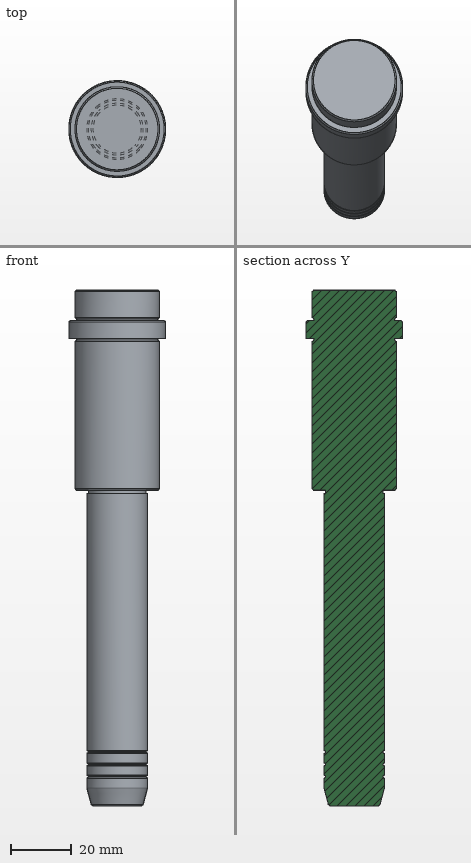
import cadquery as cq
import math

length = 170.0
body_radius = 14.0
collar_radius = 16.0
shank_radius = 10.0

collar_top = 160.0
collar_bottom = 154.0
body_bottom = 104.0

top_chamfer = 0.5
collar_chamfer = 0.5
body_chamfer = 0.5

relief_width = 1.0
relief_depth = 0.5
relief_slope = 0.5
neck_width = 1.0
neck_depth = 0.5

ring_count = 3
ring_pitch = 4.0
ring_width = 1.0
ring_depth = 0.5
ring_slope = 0.3
lowest_ring_center = 9.7

taper_length = 6.0
taper_angle = 15.0
tip_chamfer = 0.5


def cylinder(radius, bottom, top):
    """Solid cylinder on the pin axis between two heights."""
    return cq.Workplane("XY").workplane(offset=bottom).circle(radius).extrude(top - bottom)


def groove(surface_radius, depth, bottom, width, lower_slope=0.0, upper_slope=0.0):
    """Ring of material to remove; each slope is the height of a tapered groove wall."""
    floor_radius = surface_radius - depth
    top = bottom + width
    profile = [
        (floor_radius, bottom + lower_slope),
        (surface_radius, bottom),
        (collar_radius, bottom),
        (collar_radius, top),
        (surface_radius, top),
        (floor_radius, top - upper_slope),
    ]
    return cq.Workplane("XZ").polyline(profile).close().revolve(360, (0, 0, 0), (0, 1, 0))


def make_shank():
    """Straight shank with a conical tip, reaching up to the body."""
    tip_radius = shank_radius - taper_length * math.tan(math.radians(taper_angle))
    cone = (
        cq.Workplane("XY")
        .circle(tip_radius)
        .workplane(offset=taper_length)
        .circle(shank_radius)
        .loft(ruled=True)
        .faces("<Z")
        .chamfer(tip_chamfer)
    )
    return cone.union(cylinder(shank_radius, taper_length, body_bottom))


def make_body():
    """Thick upper cylinder with broken end edges."""
    body = cylinder(body_radius, body_bottom, length)
    return body.faces(">Z").chamfer(top_chamfer).faces("<Z").chamfer(body_chamfer)


def make_collar():
    """Locating collar with its upper edge broken."""
    collar = cylinder(collar_radius, collar_bottom, collar_top)
    return collar.faces(">Z").chamfer(collar_chamfer)


lower_relief_bottom = collar_bottom - relief_width
upper_relief = groove(body_radius, relief_depth, collar_top, relief_width, upper_slope=relief_slope)
lower_relief = groove(body_radius, relief_depth, lower_relief_bottom, relief_width, lower_slope=relief_slope)
body = make_body().cut(upper_relief).cut(lower_relief)

shank = make_shank()
shank = shank.cut(groove(shank_radius, neck_depth, body_bottom - neck_width, neck_width))
for ring in range(ring_count):
    ring_bottom = lowest_ring_center + ring * ring_pitch - ring_width / 2
    ring_groove = groove(shank_radius, ring_depth, ring_bottom, ring_width, ring_slope, ring_slope)
    shank = shank.cut(ring_groove)

result = body.union(make_collar()).union(shank)